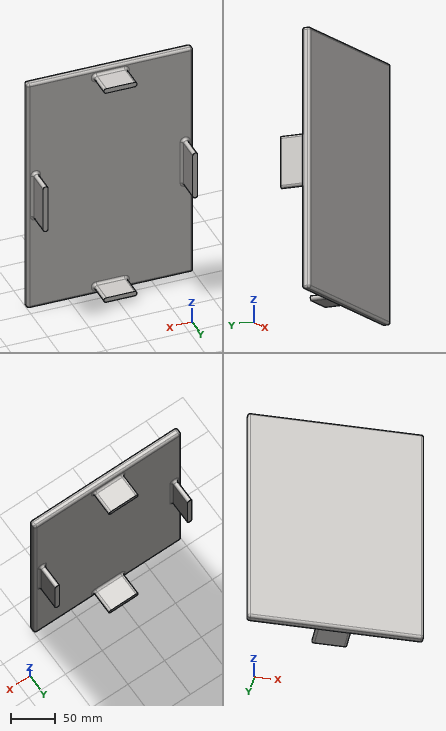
import cadquery as cq

panel_height = 300.0
panel_width = panel_height * 2 / 3
panel_thickness = panel_height / 30
edge_radius = 3.0

tab_length = 30.0
tab_thickness = 6.0
end_tab_width = 40.0
side_tab_width = 60.0
tab_inset = 10.0
root_radius = 3.0


def make_panel():
    """Flat panel with every edge rounded, its front face on Y = 0."""
    box = cq.Workplane("XY").box(
        panel_width, panel_thickness, panel_height, centered=(True, False, True)
    )
    return box.edges().fillet(edge_radius)


def make_tab(x, z, width, angle):
    """Round-ended tab on the back face; an angle of 90 stands its width along Z."""
    back_face = cq.Workplane("XZ", origin=(x, panel_thickness, z))
    return back_face.slot2D(width, tab_thickness, angle).extrude(-tab_length)


body = make_panel()
for side in (-1, 1):
    side_x = side * (panel_width / 2 - tab_inset)
    end_z = side * (panel_height / 2 - tab_inset)
    body = body.union(make_tab(side_x, 0, side_tab_width, 90))
    body = body.union(make_tab(0, end_z, end_tab_width, 0))

back_outline_margin = edge_radius + root_radius / 2
root_zone = cq.selectors.BoxSelector(
    (back_outline_margin - panel_width / 2, panel_thickness - root_radius / 2,
     back_outline_margin - panel_height / 2),
    (panel_width / 2 - back_outline_margin, panel_thickness + root_radius / 2,
     panel_height / 2 - back_outline_margin),
)
result = body.edges(root_zone).fillet(root_radius)